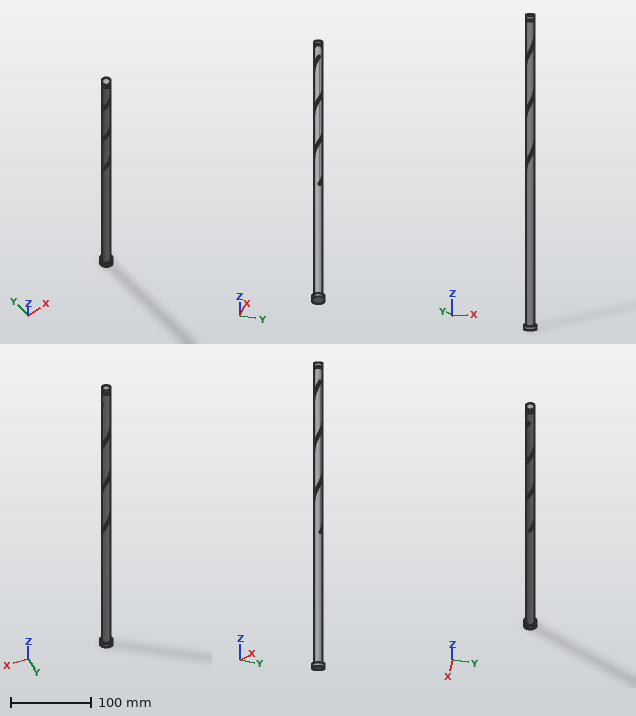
import cadquery as cq
import math

total_length = 400.0
head_diameter = 16.0
head_height = 5.0
shaft_diameter = 11.0
shaft_radius = shaft_diameter / 2

groove_depth = 0.5

tip_length = 5.0
ring_groove_width = 2.0

helix_turns = 3
helix_pitch = 66.5
helix_bottom = 176.5
helix_groove_width = 2.0


def headed_shaft():
    """Round shaft over the full length with a wider head at the bottom."""
    head = cq.Workplane("XY").circle(head_diameter / 2).extrude(head_height)
    shaft = cq.Workplane("XY").circle(shaft_radius).extrude(total_length)
    return head.union(shaft)


def ring_groove():
    """Annular cutter separating the tip from the rest of the shaft."""
    groove_bottom = total_length - tip_length - ring_groove_width
    return (
        cq.Workplane("XY", origin=(0, 0, groove_bottom))
        .circle(shaft_radius + groove_depth)
        .circle(shaft_radius - groove_depth)
        .extrude(ring_groove_width)
    )


def helical_groove():
    """Rectangular cutter, centred on the shaft surface, swept along the helix."""
    helix_length = helix_turns * helix_pitch
    helix = cq.Wire.makeHelix(helix_pitch, helix_length, shaft_radius)
    path = helix.translate(cq.Vector(0, 0, helix_bottom))
    start_direction = (0, 2 * math.pi * shaft_radius, helix_pitch)
    section = cq.Plane(
        origin=(shaft_radius, 0, helix_bottom),
        xDir=(1, 0, 0),
        normal=start_direction,
    )
    return (
        cq.Workplane(section)
        .rect(2 * groove_depth, helix_groove_width)
        .sweep(cq.Workplane(obj=path), isFrenet=True)
    )


result = headed_shaft().cut(ring_groove()).cut(helical_groove())